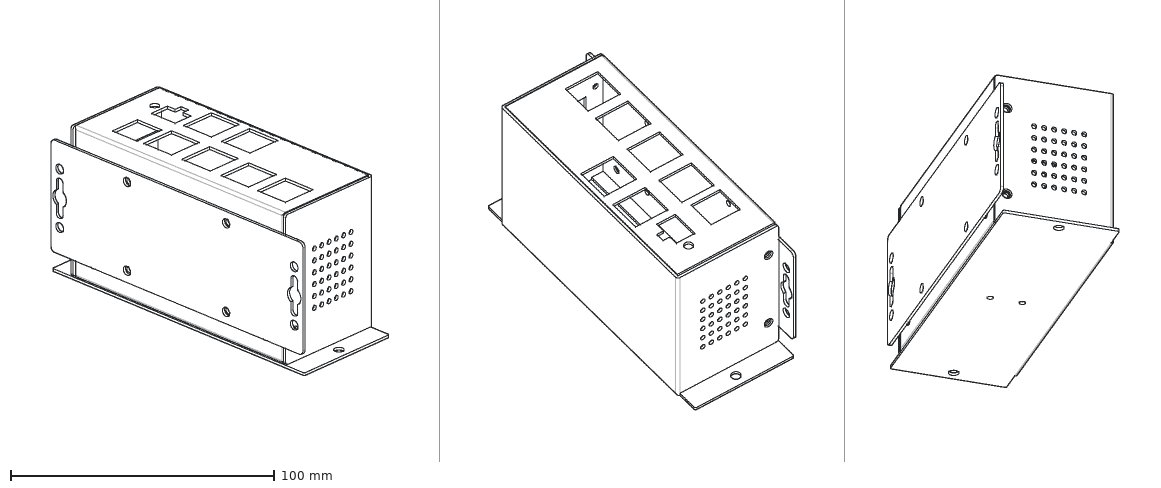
import cadquery as cq

SHEET = 1.2
BEND_RADIUS = 1.2

TRAY_LENGTH = 113.0
TRAY_DEPTH = 47.9
TRAY_HEIGHT = 64.5
TRAY_X = -0.2
FOOT_LENGTH = 132.5
FOOT_CORNER = 0.7
FOOT_HOLE_DIAMETER = 4.0
FOOT_HOLE_SPAN = 123.1
BASE_HOLE_DIAMETER = 2.4
BASE_HOLE_PITCH = 12.9
VENT_DIAMETER = 2.0
VENT_COUNT = 6
VENT_PITCH_Y = 20.1 / (VENT_COUNT - 1)
VENT_PITCH_Z = 25.0 / (VENT_COUNT - 1)
VENT_Y = 25.8

COVER_LEFT = -55.0
COVER_RIGHT = TRAY_X + TRAY_LENGTH / 2 - SHEET
COVER_TOP = 64.9
MIDDLE_Z = COVER_TOP / 2
COVER_BACK = TRAY_DEPTH - SHEET
RIGHT_BEND_RADIUS = 0.8
BOTTOM_FLANGE_DEPTH = 6.6
WINDOW_FRONT = 9.3
ARM_HEIGHT = 16.9
SIDE_SCREW_Y = 4.8
SIDE_SCREW_SPAN = 37.0
SCREW_HOLE_DIAMETER = 3.0
SCREW_HEAD_DIAMETER = 4.0
COUNTERSINK_ANGLE = 90
THREAD_HOLE_DIAMETER = 2.4
FRONT_SCREW_SPAN = 90.5
FRONT_SCREW_Z = 10.1

PORT_FRONT = 7.5
PORT_BACK = 22.7
REAR_PORT_FRONT = 29.2
REAR_PORT_BACK = 44.5
PORT_OPENINGS = [
    (-41.6, -28.7, 7.0, 20.7),
    (-25.5, -10.9, PORT_FRONT, PORT_BACK),
    (-25.5, -10.9, REAR_PORT_FRONT, REAR_PORT_BACK),
    (-5.5, 9.5, PORT_FRONT, PORT_BACK),
    (-5.5, 9.5, REAR_PORT_FRONT, REAR_PORT_BACK),
    (15.0, 29.6, PORT_FRONT, PORT_BACK),
    (34.3, 48.9, PORT_FRONT, PORT_BACK),
    (-41.6, -29.1, 28.5, 37.2),
    (-37.5, -33.5, 37.2, 40.4),
]
ROUND_OPENING_DIAMETER = 3.7
ROUND_OPENING_X = -45.3
ROUND_OPENING_Y = 34.2

PLATE_LENGTH = 132.5
PLATE_HEIGHT = 47.3
PLATE_X = 0.2
PLATE_Z = 32.7
PLATE_CORNER = 2.0
PLATE_HOLE_DIAMETER = 4.0
PLATE_HOLE_SPAN_X = 123.4
PLATE_HOLE_SPAN_Z = 24.6
KEYHOLE_DIAMETER = 7.0
KEYHOLE_SLOT_WIDTH = 3.5
KEYHOLE_SLOT_LENGTH = 16.9
PLATE_SCREW_DIAMETER = 3.7
PLATE_SCREW_SPAN_X = 52.1
PLATE_SCREW_SPAN_Z = 37.4


def block(x0, x1, y0, y1, z0, z1):
    """Box between two limits on each axis."""
    return cq.Workplane("XY").box(x1 - x0, y1 - y0, z1 - z0, centered=False).translate((x0, y0, z0))


def front_plane(x, y, z):
    """XZ workplane facing -Y with its origin at the given point."""
    return cq.Workplane("XZ", origin=(x, y, z))


def drill_countersunk(body, origin, facing, spacing_x, spacing_z):
    """Countersunk pair of holes through a sheet whose outer face points along facing.

    The pair is spread along the horizontal by spacing_x or along Z by spacing_z.
    """
    horizontal = cq.Vector(0, 0, 1).cross(cq.Vector(*facing))
    plane = cq.Workplane(cq.Plane(origin=origin, xDir=horizontal, normal=facing))
    points = [(-spacing_x / 2, -spacing_z / 2), (spacing_x / 2, spacing_z / 2)]
    drilled = body.copyWorkplane(plane).pushPoints(points)
    return drilled.cskHole(SCREW_HOLE_DIAMETER, SCREW_HEAD_DIAMETER, COUNTERSINK_ANGLE, depth=SHEET)


def make_tray():
    left = TRAY_X - TRAY_LENGTH / 2
    right = TRAY_X + TRAY_LENGTH / 2
    shell = block(left, right, 0, TRAY_DEPTH, 0, TRAY_HEIGHT)
    shell = shell.edges("(|Z and >Y) or (|X and >Y and <Z)").fillet(BEND_RADIUS)
    shell = shell.cut(block(left + SHEET, right - SHEET, 0, TRAY_DEPTH - SHEET, SHEET, TRAY_HEIGHT))

    walls = block(left, right, 0, TRAY_DEPTH, SHEET, TRAY_HEIGHT).edges("|X and <Y").fillet(BEND_RADIUS)
    front_corners = block(left, right, 0, BEND_RADIUS, SHEET, TRAY_HEIGHT).cut(walls)
    shell = shell.cut(front_corners)

    foot = block(-FOOT_LENGTH / 2, FOOT_LENGTH / 2, 0, TRAY_DEPTH - BEND_RADIUS, 0, SHEET)
    foot = foot.edges("|Z").fillet(FOOT_CORNER).translate((TRAY_X, 0, 0))
    tray = shell.union(foot)

    base = cq.Workplane("XY", origin=(TRAY_X, TRAY_DEPTH / 2, 0))
    foot_holes = base.rarray(FOOT_HOLE_SPAN, 1.3, 2, 1).circle(FOOT_HOLE_DIAMETER / 2).extrude(SHEET)
    base_holes = base.rarray(1.3, BASE_HOLE_PITCH, 1, 2).circle(BASE_HOLE_DIAMETER / 2).extrude(SHEET)
    vents = (
        cq.Workplane("YZ", origin=(left, VENT_Y, MIDDLE_Z))
        .rarray(VENT_PITCH_Y, VENT_PITCH_Z, VENT_COUNT, VENT_COUNT)
        .circle(VENT_DIAMETER / 2)
        .extrude(TRAY_LENGTH)
    )
    tray = tray.cut(foot_holes).cut(base_holes).cut(vents)
    for wall_x, facing in ((left, -1), (right, 1)):
        origin = (wall_x, SIDE_SCREW_Y, MIDDLE_Z)
        tray = drill_countersunk(tray, origin, (facing, 0, 0), 0, SIDE_SCREW_SPAN)
    return tray


def make_cover():
    cover = block(COVER_LEFT, COVER_RIGHT, 0, COVER_BACK, SHEET, COVER_TOP)
    side_bends = cover.edges("|Z and <Y and <X").fillet(BEND_RADIUS)
    side_bends = side_bends.edges("|Z and <Y and >X").fillet(RIGHT_BEND_RADIUS)
    cover = cover.edges("|X and <Y").fillet(BEND_RADIUS).intersect(side_bends)

    inside_left = COVER_LEFT + SHEET
    inside_right = COVER_RIGHT - SHEET
    bottom_flange_top = 2 * SHEET
    ceiling = COVER_TOP - SHEET
    cover = cover.cut(block(inside_left, inside_right, SHEET, COVER_BACK, bottom_flange_top, ceiling))
    cover = cover.cut(block(inside_left, inside_right, BOTTOM_FLANGE_DEPTH, COVER_BACK, 0, ceiling))

    cover = cover.cut(
        block(COVER_LEFT, COVER_RIGHT, WINDOW_FRONT, COVER_BACK, ARM_HEIGHT, COVER_TOP - ARM_HEIGHT)
    )

    for left, right, front, back in PORT_OPENINGS:
        cover = cover.cut(block(left, right, front, back, ceiling, COVER_TOP))
    round_opening = cq.Workplane("XY", origin=(ROUND_OPENING_X, ROUND_OPENING_Y, ceiling))
    cover = cover.cut(round_opening.circle(ROUND_OPENING_DIAMETER / 2).extrude(SHEET))

    side_holes = cq.Workplane("YZ", origin=(COVER_LEFT, SIDE_SCREW_Y, MIDDLE_Z))
    side_holes = side_holes.rarray(1.3, SIDE_SCREW_SPAN, 1, 2).circle(THREAD_HOLE_DIAMETER / 2)
    cover = cover.cut(side_holes.extrude(COVER_RIGHT - COVER_LEFT))

    plate_holes = front_plane(0, 0, PLATE_Z).rarray(PLATE_SCREW_SPAN_X, PLATE_SCREW_SPAN_Z, 2, 2)
    cover = cover.cut(plate_holes.circle(THREAD_HOLE_DIAMETER / 2).extrude(-SHEET))
    front_origin = (PLATE_X, 0, FRONT_SCREW_Z)
    return drill_countersunk(cover, front_origin, (0, -1, 0), FRONT_SCREW_SPAN, 0)


def make_plate():
    face = front_plane(PLATE_X, 0, PLATE_Z)
    plate = face.rect(PLATE_LENGTH, PLATE_HEIGHT).extrude(SHEET).edges("|Y").fillet(PLATE_CORNER)
    holes = face.rarray(PLATE_HOLE_SPAN_X, PLATE_HOLE_SPAN_Z, 2, 2)
    holes = holes.circle(PLATE_HOLE_DIAMETER / 2).extrude(SHEET)
    keyholes = face.rarray(PLATE_HOLE_SPAN_X, 1.3, 2, 1).circle(KEYHOLE_DIAMETER / 2).extrude(SHEET)
    slots = face.rarray(PLATE_HOLE_SPAN_X, 1.3, 2, 1)
    slots = slots.slot2D(KEYHOLE_SLOT_LENGTH, KEYHOLE_SLOT_WIDTH, 90).extrude(SHEET)
    screws = front_plane(0, 0, PLATE_Z).rarray(PLATE_SCREW_SPAN_X, PLATE_SCREW_SPAN_Z, 2, 2)
    screws = screws.circle(PLATE_SCREW_DIAMETER / 2).extrude(SHEET)
    for cutter in (holes, keyholes, slots, screws):
        plate = plate.cut(cutter)
    return plate


tray = make_tray()
cover = make_cover()
plate = make_plate()
result = cq.Compound.makeCompound([tray.solids().val(), cover.solids().val(), plate.solids().val()])